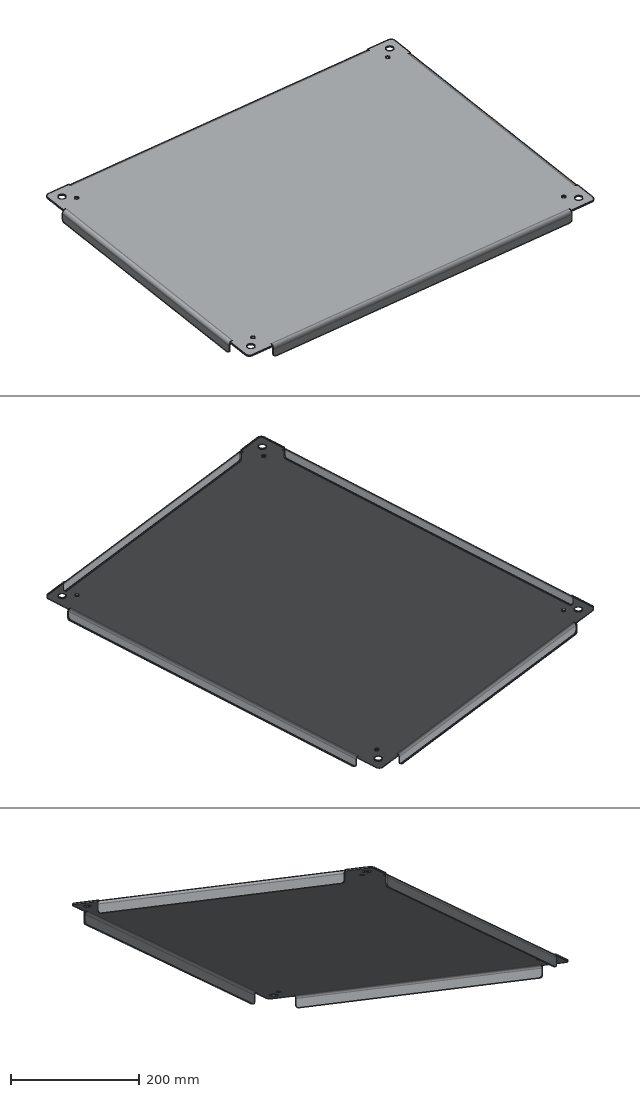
import cadquery as cq

width = 532.0
length = 684.0
height = 22.0
thickness = 2.5

bend_radius = 7.0
flange_end_gap = 50.0
flange_corner_radius = 5.0

plate_inset = 2.0
plate_corner_radius = 7.5

mounting_hole_diameter = 13.0
mounting_hole_offset = 21.0
pilot_hole_diameter = 7.0
pilot_hole_offset = 37.5


def make_plate():
    """Rounded flat plate with its top face at Z = height, notched where the bends go."""
    plate = (
        cq.Workplane("XY")
        .workplane(offset=height - thickness)
        .rect(width - 2 * plate_inset, length - 2 * plate_inset)
        .extrude(thickness)
        .edges("|Z")
        .fillet(plate_corner_radius)
    )
    notch_depth = 2 * bend_radius
    side_notch = cq.Workplane("XY").box(notch_depth, length - 2 * flange_end_gap, 2 * (height + thickness))
    end_notch = cq.Workplane("XY").box(width - 2 * flange_end_gap, notch_depth, 2 * (height + thickness))
    for side in (-1, 1):
        plate = plate.cut(side_notch.translate((side * width / 2, 0, 0)))
        plate = plate.cut(end_notch.translate((0, side * length / 2, 0)))
    return plate


def make_flange(outer_distance, flange_length):
    """Bend and flange on the +X side, with its outer face at outer_distance."""
    inner_radius = bend_radius - thickness
    bend_start = outer_distance - bend_radius
    bend_end = height - bend_radius
    flange = (
        cq.Workplane("XZ")
        .moveTo(bend_start, height)
        .radiusArc((outer_distance, bend_end), bend_radius)
        .lineTo(outer_distance, 0)
        .lineTo(outer_distance - thickness, 0)
        .lineTo(outer_distance - thickness, bend_end)
        .radiusArc((bend_start, height - thickness), -inner_radius)
        .close()
        .extrude(flange_length / 2, both=True)
    )
    return flange.faces("<Z").edges("|X").fillet(flange_corner_radius)


def corner_points(offset):
    """The four corner positions at an equal offset from the outer envelope."""
    x = width / 2 - offset
    y = length / 2 - offset
    return [(-x, -y), (-x, y), (x, -y), (x, y)]


def make_hole_cutters(diameter, offset):
    return cq.Workplane("XY").pushPoints(corner_points(offset)).circle(diameter / 2).extrude(2 * height)


side_flange = make_flange(width / 2, length - 2 * flange_end_gap)
end_flange = make_flange(length / 2, width - 2 * flange_end_gap)

result = make_plate()
for flange, angles in ((side_flange, (0, 180)), (end_flange, (90, 270))):
    for angle in angles:
        result = result.union(flange.rotate((0, 0, 0), (0, 0, 1), angle))

result = result.cut(make_hole_cutters(mounting_hole_diameter, mounting_hole_offset))
result = result.cut(make_hole_cutters(pilot_hole_diameter, pilot_hole_offset))